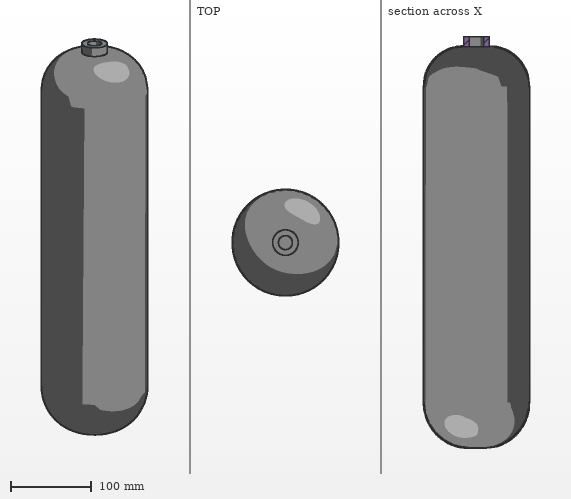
import cadquery as cq
import math

total_height = 510.5
outer_diameter = 132.0
inner_diameter = 129.5
outer_radius = outer_diameter / 2
wall = (outer_diameter - inner_diameter) / 2

neck_diameter = 31.5
bore_diameter = 17.5
base_flat_diameter = bore_diameter

top_seam_z = 449.0
top_arc_radius = outer_radius - neck_diameter / 2
bottom_arc_radius = outer_radius - base_flat_diameter / 2
bottom_seam_z = bottom_arc_radius


def rounded_body(inset):
    """Solid of revolution with rounded ends, its surface set inward by the inset."""
    radius = outer_radius - inset
    top_arc = top_arc_radius - inset
    bottom_arc = bottom_arc_radius - inset
    diagonal = math.sqrt(0.5)

    bottom_middle = (radius - bottom_arc * (1 - diagonal), bottom_seam_z - bottom_arc * diagonal)
    top_middle = (radius - top_arc * (1 - diagonal), top_seam_z + top_arc * diagonal)
    return (
        cq.Workplane("XZ")
        .moveTo(0, inset)
        .lineTo(base_flat_diameter / 2, inset)
        .threePointArc(bottom_middle, (radius, bottom_seam_z))
        .lineTo(radius, top_seam_z)
        .threePointArc(top_middle, (neck_diameter / 2, top_seam_z + top_arc))
        .lineTo(0, top_seam_z + top_arc)
        .close()
        .revolve(360, (0, 0, 0), (0, 1, 0))
    )


def cylinder(diameter):
    """Vertical cylinder on the vessel axis, from the top seam to the top of the neck."""
    return cq.Workplane("XY", origin=(0, 0, top_seam_z)).circle(diameter / 2).extrude(total_height - top_seam_z)


neck = cylinder(neck_diameter)
bore = cylinder(bore_diameter)
cavity = rounded_body(wall)

result = rounded_body(0).union(neck).cut(cavity).cut(bore)